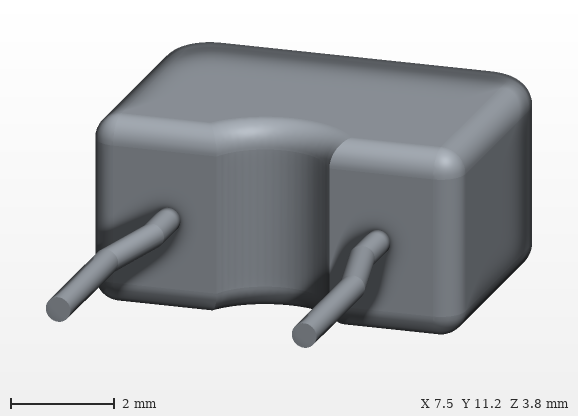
import cadquery as cq
import math

body_width = 7.5
body_depth = 5.5
body_height = 3.8
total_depth = 11.23

rear_corner_radius = 1.0
front_corner_radius = 0.5
rim_radius = 0.5

notch_radius = 1.25
notch_axis_offset = 0.5

lead_diameter = 0.5
lead_pitch = 5.0
root_length = 1.0
tip_length = 3.0
splay_angle = 12.0
lead_embed = 0.5

lead_length = total_depth - body_depth
splay_length = lead_length - root_length - tip_length
tip_x = lead_pitch / 2
root_x = tip_x - splay_length * math.tan(math.radians(splay_angle))


def make_body():
    """Rounded block with a round notch in the middle of its front face."""
    block = cq.Workplane("XY").box(body_width, body_depth, body_height, centered=(True, False, True))
    block = block.edges("|Z and >Y").fillet(rear_corner_radius)
    block = block.edges("|Z and <Y").fillet(front_corner_radius)
    notch = (
        cq.Workplane("XY")
        .center(0, -notch_axis_offset)
        .circle(notch_radius)
        .extrude(body_height, both=True)
    )
    return block.cut(notch).faces("|Z").edges().fillet(rim_radius)


def make_lead(side):
    """Bent round wire on one side of the body: side is -1 or +1 along X."""
    path = cq.Workplane("XY").polyline([
        (side * root_x, lead_embed),
        (side * root_x, -root_length),
        (side * tip_x, -root_length - splay_length),
        (side * tip_x, -lead_length),
    ])
    section = (
        cq.Workplane("XZ", origin=(side * root_x, lead_embed, 0))
        .circle(lead_diameter / 2)
    )
    return section.sweep(path, transition="right")


result = make_body()
for lead_side in (-1, 1):
    result = result.union(make_lead(lead_side))